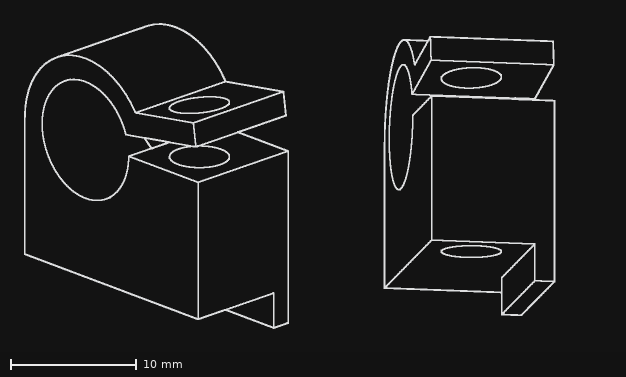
import cadquery as cq
import math

outer_radius = 7.0
bore_radius = 5.0
body_length = 20.0
body_depth = 10.0
bore_height = 11.75

arm_tilt = 8.5
arm_offset = 1.05
arm_reach = 13.05
arm_thickness = outer_radius - bore_radius

screw_diameter = 4.8
screw_x = 9.0
screw_y = 4.0

tab_length = 14.1
tab_thickness = 1.6
tab_height = 3.0

left = -outer_radius
right = left + body_length
underside = -bore_height


def tilted(x, z):
    """Turn a point about the bore axis by the arm tilt."""
    angle = math.radians(arm_tilt)
    return (
        x * math.cos(angle) - z * math.sin(angle),
        x * math.sin(angle) + z * math.cos(angle),
    )


def arm_root(radius, offset):
    """Point where an arm face at the given offset meets a circle around the bore axis."""
    return tilted(math.sqrt(radius**2 - offset**2), offset)


def make_clamp():
    """Body, open ring and arm, extruded from one outline."""
    arm_top = arm_offset + arm_thickness
    return (
        cq.Workplane("XZ")
        .moveTo(left, underside)
        .lineTo(right, underside)
        .lineTo(right, 0)
        .lineTo(bore_radius, 0)
        .threePointArc((-bore_radius, 0), arm_root(bore_radius, arm_offset))
        .lineTo(*tilted(arm_reach, arm_offset))
        .lineTo(*tilted(arm_reach, arm_top))
        .lineTo(*arm_root(outer_radius, arm_top))
        .threePointArc((0, outer_radius), (left, 0))
        .close()
        .extrude(-body_depth)
    )


def make_tab():
    """Strip flush with the right end and the rear face of the body."""
    tab = cq.Workplane("XY").box(tab_length, tab_thickness, tab_height, centered=False)
    return tab.translate((right - tab_length, body_depth - tab_thickness, underside - tab_height))


def make_screw_hole():
    """Cylinder from the underside of the body to above the arm."""
    return (
        cq.Workplane("XY", origin=(screw_x, screw_y, underside))
        .circle(screw_diameter / 2)
        .extrude(bore_height + outer_radius)
    )


result = make_clamp().cut(make_screw_hole()).union(make_tab())